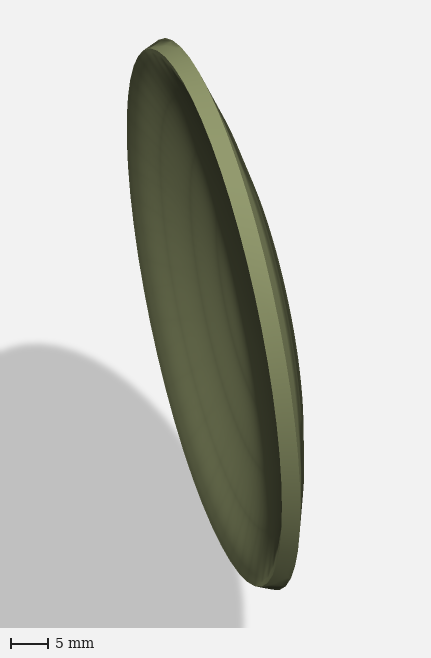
import cadquery as cq
import math

outer_diameter = 76.1
dome_radius = 100.0
wall = 2.5

hollow_radius = dome_radius - wall
outer_rim_radius = outer_diameter / 2
rim_angle = math.asin(outer_rim_radius / dome_radius)
half_angle = rim_angle / 2
front_plane = hollow_radius * math.cos(rim_angle)


def arc_point(radius, angle):
    """Point on a sphere's profile, with the open front edge of the rim at Y = 0."""
    return (radius * math.sin(angle), radius * math.cos(angle) - front_plane)


result = (
    cq.Workplane("XY")
    .moveTo(*arc_point(hollow_radius, 0))
    .threePointArc(arc_point(hollow_radius, half_angle), arc_point(hollow_radius, rim_angle))
    .lineTo(*arc_point(dome_radius, rim_angle))
    .threePointArc(arc_point(dome_radius, half_angle), arc_point(dome_radius, 0))
    .close()
    .revolve(360, (0, 0, 0), (0, 1, 0))
)